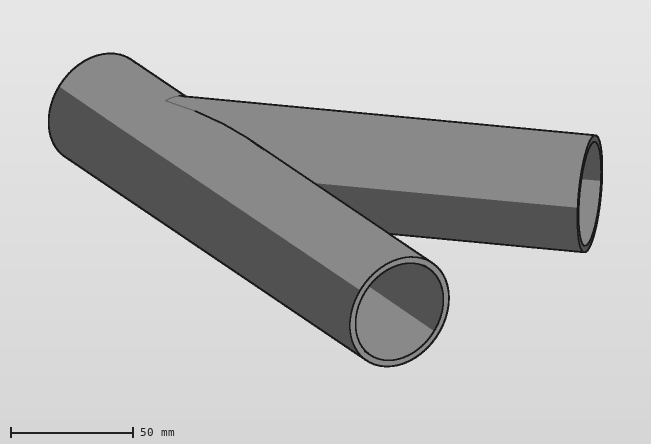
import cadquery as cq

outer_diameter = 48.2
bore_diameter = 42.7
main_length = 228.5
branch_length = 177.9
branch_angle = 45.0
junction_x = 51.0


def main_cylinder(diameter):
    """Cylinder along X, filling the main pipe at the given diameter."""
    return cq.Workplane("YZ").circle(diameter / 2).extrude(main_length)


def branch_cylinder(diameter):
    """Cylinder from the axis crossing along the slanted branch axis."""
    cylinder = cq.Workplane("YZ").circle(diameter / 2).extrude(branch_length)
    turned = cylinder.rotate((0, 0, 0), (0, 0, 1), branch_angle)
    return turned.translate((junction_x, 0, 0))


def wye(diameter):
    """Main and branch cylinders of one diameter joined together."""
    return main_cylinder(diameter).union(branch_cylinder(diameter))


result = wye(outer_diameter).cut(wye(bore_diameter))